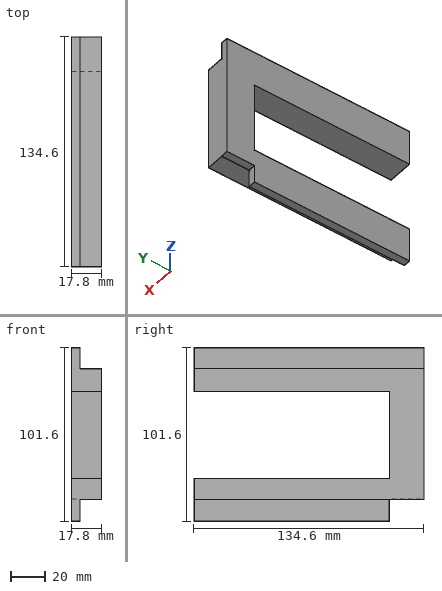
import cadquery as cq

width = 17.78
length = 134.62
height = 101.6

lip_thickness = 5.08
upper_lip_height = 12.28
lower_lip_height = 12.65

web_length = 20.32
upper_arm_height = 25.7
opening_height = 50.8

notch_clearance = 0.25

half_length = length / 2
web_front = half_length - web_length
part_top = height / 2
part_bottom = -height / 2
block_top = part_top - upper_lip_height
block_bottom = part_bottom + lower_lip_height
opening_top = part_top - upper_arm_height
opening_bottom = opening_top - opening_height
notch_top = block_bottom + notch_clearance


def box_between(x_range, y_range, z_range):
    """Axis-aligned box spanning the given (low, high) ranges."""
    sizes = [high - low for low, high in (x_range, y_range, z_range)]
    corner = (x_range[0], y_range[0], z_range[0])
    return cq.Workplane("XY").box(*sizes, centered=False).translate(corner)


def make_lip_plate():
    """Thin full-height plate with its lower lip cut away under the web."""
    plate = box_between((0, lip_thickness), (-half_length, half_length), (part_bottom, part_top))
    notch = box_between((0, lip_thickness), (web_front, half_length), (part_bottom, notch_top))
    return plate.cut(notch)


def make_block():
    """Thick block behind the plate, set in from the edges of both lips."""
    return box_between((lip_thickness, width), (-half_length, half_length), (block_bottom, block_top))


def make_opening():
    """Slot through the thickness, open at the -Y end, leaving two arms and a web."""
    return box_between((0, width), (-half_length, web_front), (opening_bottom, opening_top))


result = make_lip_plate().union(make_block()).cut(make_opening())